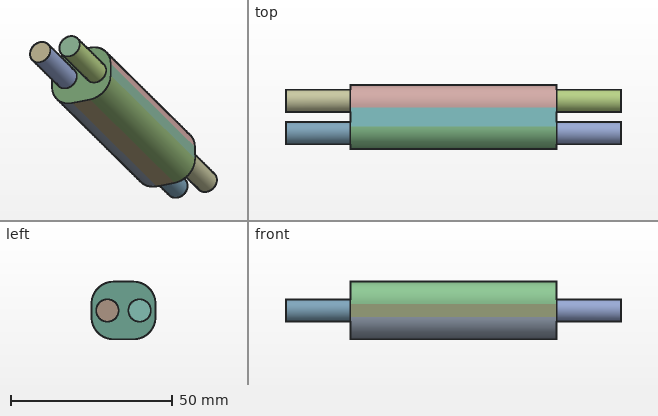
import cadquery as cq

total_length = 104.0
body_length = 64.0
body_width = 20.0
body_height = 18.0
corner_radius = 7.0
rod_diameter = 7.0
rod_spacing = 10.0


def make_body():
    """Block along X with its four long edges rounded."""
    block = cq.Workplane("XY").box(body_length, body_width, body_height)
    return block.edges("|X").fillet(corner_radius)


def make_rods():
    """Two parallel round rods running the full length along X."""
    return (
        cq.Workplane("YZ")
        .workplane(offset=-total_length / 2)
        .pushPoints([(-rod_spacing / 2, 0), (rod_spacing / 2, 0)])
        .circle(rod_diameter / 2)
        .extrude(total_length)
    )


result = make_body().union(make_rods())